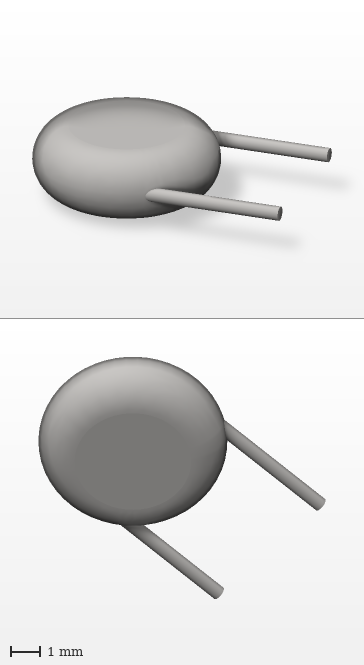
import cadquery as cq

overall_length = 9.75
disc_diameter = 6.5
disc_thickness = 2.5
lead_diameter = 0.5
lead_pitch = 5.08

disc_radius = disc_diameter / 2
rim_radius = disc_thickness / 2
flat_radius = disc_radius - rim_radius
lead_tip_x = overall_length - disc_radius
lead_root_x = 0.0


def make_lead(y):
    """Straight round lead along X, at the mid-height of the disc."""
    return (
        cq.Workplane("YZ", origin=(lead_root_x, y, 0))
        .circle(lead_diameter / 2)
        .extrude(lead_tip_x - lead_root_x)
    )


def make_disc():
    """Solid disc with flat faces and a fully rounded rim."""
    return (
        cq.Workplane("XZ")
        .moveTo(0, -rim_radius)
        .lineTo(-flat_radius, -rim_radius)
        .threePointArc((-disc_radius, 0), (-flat_radius, rim_radius))
        .lineTo(0, rim_radius)
        .close()
        .revolve(360, (0, 0, 0), (0, 1, 0))
    )


leads = [make_lead(side * lead_pitch / 2) for side in (-1, 1)]

disc = make_disc()
for lead in leads:
    disc = disc.cut(lead)

result = cq.Compound.makeCompound([disc.val(), *[lead.val() for lead in leads]])